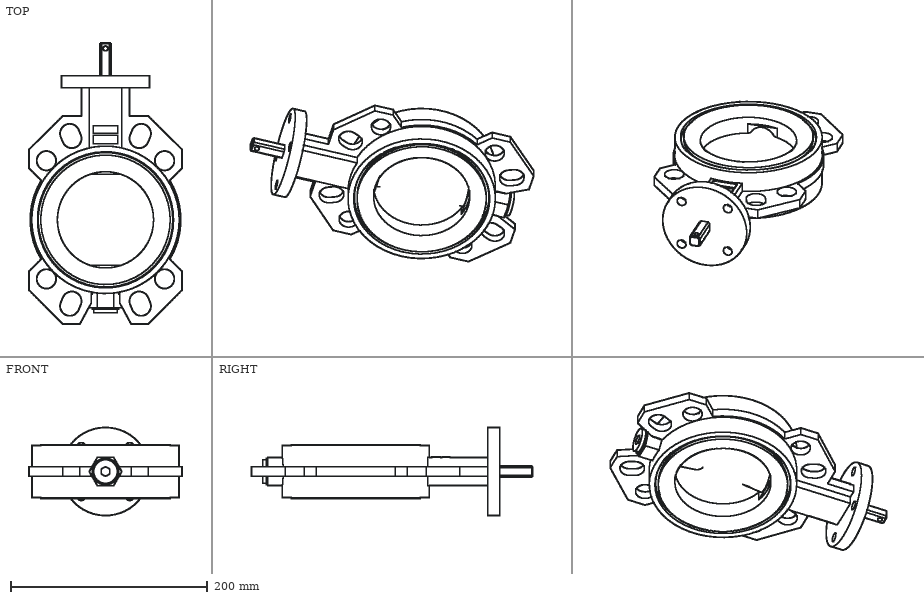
import cadquery as cq
import math


overall_length = 287.0

body_radius = 75.2
body_half_height = 26.7
plate_thickness = 9.8
plate_radius = 77.0

lug_half_width = 78.0
lug_inner_y = 52.5
lug_outer_y = 71.8
lug_top_x = 43.5
lug_top_y = 106.0
lug_bottom_y = 106.5
lug_gap_half_width = 14.4
lug_gap_y = 84.7
lug_bottom_inner_x = 26.0
bolt_radius = 9.8
round_hole_offset = 60.3
slot_angle = 67.5
slot_inner_radius = 89.8
slot_outer_radius = 95.3

liner_half_height = 27.5
liner_radius = 66.0
groove_top_radius = 69.5
groove_floor_radius = 68.5
groove_depth = 3.0
bore_radius = 49.0
liner_overlap = 1.5
bore_lip_radius = 55.7
bore_lip_depth = 5.0

pad_y = 46.5
pad_half_height = 15.0

disc_edge_half_thickness = 4.3
disc_center_half_thickness = 5.0
hub_base_y = 51.7
hub_base_radius = 14.0
hub_inner_radius = 11.5
hub_taper_end_y = 27.5
hub_tip_y = 19.8
hub_tip_flat_radius = 3.5
hub_fillet = 5.2

neck_half_width = 24.7
neck_block_width = 33.5
neck_block_height = 28.7
flange_radius = 45.0
flange_bottom_y = 134.5
flange_thickness = 12.3
flange_hole_radius = 4.5
flange_bolt_circle_radius = 35.0
flange_hole_count = 4
flange_first_hole_angle = 45
stem_width = 11.5
stem_corner_chamfer = 2.0
stem_end_chamfer = 1.1
stem_top_y = overall_length - lug_bottom_y
stem_hole_radius = 2.3
stem_hole_inset = 5.7

label_width = 25.3
label_thickness = 1.0
label_spans = [(77.8, 86.5), (88.0, 96.1)]

boss_across_flats = 28.7
boss_end_y = 89.8
washer_radius = 13.5
washer_thickness = 1.5
plug_radius = 12.0
plug_end_y = 95.0
socket_across_flats = 8.5
socket_depth = 4.3


def along_y(start_y):
    """Sketch plane facing +Y at start_y, with its local x along +X."""
    return cq.Workplane("XZ", origin=(0, start_y, 0))


def y_cylinder(radius, start_y, end_y):
    return along_y(end_y).circle(radius).extrude(end_y - start_y)


def y_hexagon(across_flats, start_y, end_y):
    """Hexagonal prism along Y with its corners pointing along X."""
    corner_diameter = across_flats / math.cos(math.radians(30))
    return along_y(end_y).polygon(6, corner_diameter).extrude(end_y - start_y)


def centred_prism(sketch, height):
    return sketch.extrude(height / 2, both=True)


def mounting_plate():
    upper = [
        (0, 0),
        (lug_half_width - lug_inner_y, 0),
        (lug_half_width, lug_inner_y),
        (lug_half_width, lug_outer_y),
        (lug_top_x, lug_top_y),
        (0, lug_top_y),
    ]
    lower = [
        (0, 0),
        (lug_half_width - lug_inner_y, 0),
        (lug_half_width, -lug_inner_y),
        (lug_half_width, -lug_outer_y),
        (lug_top_x, -lug_bottom_y),
        (lug_bottom_inner_x, -lug_bottom_y),
        (lug_gap_half_width, -lug_gap_y),
        (lug_gap_half_width, 0),
    ]
    plate = centred_prism(cq.Workplane("XY").circle(plate_radius), plate_thickness)
    for outline in (upper, lower):
        lug = centred_prism(cq.Workplane("XY").polyline(outline).close(), plate_thickness)
        plate = plate.union(lug).union(lug.mirror("YZ"))
    return plate.cut(bolt_holes())


def bolt_holes():
    offsets = [(sx * round_hole_offset, sy * round_hole_offset) for sx in (1, -1) for sy in (1, -1)]
    holes = centred_prism(cq.Workplane("XY").pushPoints(offsets).circle(bolt_radius), plate_thickness)
    slot_middle = (slot_inner_radius + slot_outer_radius) / 2
    slot_length = slot_outer_radius - slot_inner_radius + 2 * bolt_radius
    for angle in (slot_angle, 180 - slot_angle, 180 + slot_angle, -slot_angle):
        slot = centred_prism(
            cq.Workplane("XY").center(slot_middle, 0).slot2D(slot_length, 2 * bolt_radius), plate_thickness
        )
        holes = holes.union(slot.rotate((0, 0, 0), (0, 0, 1), angle))
    return holes


def neck():
    length = flange_bottom_y
    plate = cq.Workplane("XY").box(2 * neck_half_width, length, plate_thickness, centered=(True, False, True))
    block = cq.Workplane("XY").box(
        neck_block_width, length, neck_block_height, centered=(True, False, True)
    )
    return plate.union(block)


def labels():
    """Thin plates, half sunk into the upper face of the neck block."""
    plates = cq.Workplane("XY")
    for start_y, end_y in label_spans:
        plates = plates.add(
            cq.Workplane("XY", origin=(0, start_y, neck_block_height / 2))
            .box(label_width, end_y - start_y, 2 * label_thickness, centered=(True, False, True))
        )
    return plates.combine()


def flange():
    top_y = flange_bottom_y + flange_thickness
    holes = (
        along_y(top_y)
        .polarArray(flange_bolt_circle_radius, flange_first_hole_angle, 360, flange_hole_count)
        .circle(flange_hole_radius)
        .extrude(flange_thickness)
    )
    return y_cylinder(flange_radius, flange_bottom_y, top_y).cut(holes)


def stem():
    length = stem_top_y - flange_bottom_y
    square = along_y(stem_top_y).rect(stem_width, stem_width).extrude(length)
    square = square.edges("|Y").chamfer(stem_corner_chamfer)
    square = square.faces(">Y").chamfer(stem_end_chamfer)
    hole = centred_prism(
        cq.Workplane("XY").center(0, stem_top_y - stem_hole_inset).circle(stem_hole_radius), stem_width
    )
    return square.cut(hole)


def lower_boss():
    washer_end_y = boss_end_y + washer_thickness
    boss = y_hexagon(boss_across_flats, -boss_end_y, 0)
    boss = boss.union(y_cylinder(washer_radius, -washer_end_y, -boss_end_y))
    return boss.union(y_cylinder(plug_radius, -plug_end_y, -washer_end_y))


def plug_socket():
    socket = y_hexagon(socket_across_flats, -plug_end_y, socket_depth - plug_end_y)
    return socket.rotate((0, 0, 0), (0, 1, 0), 30)


def body_ring():
    """Upper half of the body and liner section turned about Z, then mirrored downwards."""
    lip_angle = 2 * math.atan(bore_lip_depth / (bore_lip_radius - bore_radius))
    lip_radius = (bore_lip_radius - bore_radius) / math.sin(lip_angle)
    lip_middle = (
        bore_lip_radius - lip_radius * math.sin(lip_angle / 2),
        liner_half_height - lip_radius * (1 - math.cos(lip_angle / 2)),
    )
    groove_floor_z = body_half_height - groove_depth
    half = (
        cq.Workplane("XZ")
        .moveTo(bore_radius, 0)
        .lineTo(body_radius, 0)
        .lineTo(body_radius, body_half_height)
        .lineTo(groove_top_radius, body_half_height)
        .lineTo(groove_floor_radius, groove_floor_z)
        .lineTo(liner_radius, groove_floor_z)
        .lineTo(liner_radius, liner_half_height)
        .lineTo(bore_lip_radius, liner_half_height)
        .threePointArc(lip_middle, (bore_radius, liner_half_height - bore_lip_depth))
        .close()
        .revolve(360, (0, 0, 0), (0, 1, 0))
    )
    return half.union(half.mirror("XY"))


def stem_pad():
    """Flat on the bore wall that the disc hub meets."""
    depth = liner_radius - pad_y
    block = cq.Workplane("XY", origin=(0, pad_y, 0)).box(
        2 * bore_radius, depth, 2 * pad_half_height, centered=(True, False, True)
    )
    wall = cq.Workplane("XY").circle(bore_radius + liner_overlap).extrude(pad_half_height, both=True)
    return block.intersect(wall)


def hub():
    """Tapered hub along +Y with a rounded tip towards the disc centre."""
    tip_length = hub_taper_end_y - hub_tip_y
    tip_rise = hub_inner_radius - hub_tip_flat_radius
    arc_middle = (
        hub_tip_flat_radius + tip_rise * math.sin(math.radians(45)),
        hub_taper_end_y - tip_length * math.cos(math.radians(45)),
    )
    return (
        cq.Workplane("XY")
        .moveTo(0, hub_tip_y)
        .lineTo(hub_tip_flat_radius, hub_tip_y)
        .threePointArc(arc_middle, (hub_inner_radius, hub_taper_end_y))
        .lineTo(hub_base_radius, hub_base_y)
        .lineTo(0, hub_base_y)
        .close()
        .revolve(360, (0, 0, 0), (0, 1, 0))
    )


def disc():
    """Slightly conical disc with two hubs blended into both faces, built as its upper half and mirrored."""
    cone_slope = (disc_center_half_thickness - disc_edge_half_thickness) / bore_radius
    cone_height = disc_center_half_thickness
    cone_base_radius = cone_height / cone_slope
    cone = cq.Workplane("XY").add(cq.Solid.makeCone(cone_base_radius, 0, cone_height))
    upper_space = cq.Workplane("XY").box(
        2 * hub_base_y, 2 * hub_base_y, 2 * hub_base_radius, centered=(True, True, False)
    )
    hubs = hub().union(hub().mirror("XZ"))
    half = upper_space.intersect(cone).union(hubs.intersect(upper_space))

    seam_margin = 0.3
    seam_zone = cq.selectors.BoxSelector(
        (-hub_base_radius, seam_margin - hub_base_y, disc_edge_half_thickness - seam_margin),
        (hub_base_radius, hub_base_y - seam_margin, disc_center_half_thickness + seam_margin),
    )
    half = half.edges(seam_zone).fillet(hub_fillet)

    rim = cq.Workplane("XY").circle(bore_radius + liner_overlap).extrude(2 * hub_base_radius)
    half = half.intersect(rim)
    return half.union(half.mirror("XY"))


housing = mounting_plate().union(neck()).union(lower_boss())
housing = housing.cut(cq.Workplane("XY").circle(liner_radius).extrude(liner_half_height, both=True))
housing = housing.union(body_ring()).union(labels()).union(flange()).union(stem()).cut(plug_socket())

result = housing.union(disc()).union(stem_pad()).union(stem_pad().mirror("XZ"))